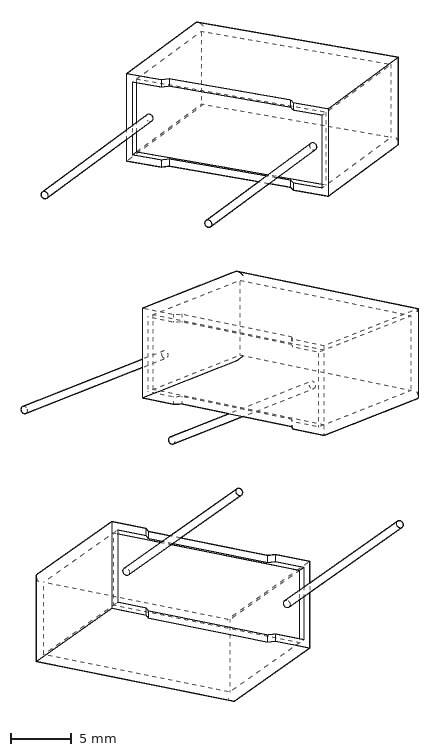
import cadquery as cq

TOTAL_LENGTH = 32.6
CASE_WIDTH = 18.5
CASE_LENGTH = 13.6
CASE_THICKNESS = 7.73

SIDE_WALL = 0.55
BROAD_WALL = 0.65
BACK_WALL = 0.65
BACK_EDGE_RADIUS = 0.5
NOTCH_DEPTH = 0.5
FOOT_WIDTH = 3.7
FOOT_CHAMFER = NOTCH_DEPTH

POTTING_RECESS = 0.75
LEAD_DIAMETER = 0.65
LEAD_SPACING = 15.0

OPEN_END_Y = TOTAL_LENGTH - CASE_LENGTH
POTTING_FACE_Y = OPEN_END_Y + POTTING_RECESS
CAVITY_FLOOR_Y = TOTAL_LENGTH - BACK_WALL
CAVITY_WIDTH = CASE_WIDTH - 2 * SIDE_WALL
CAVITY_THICKNESS = CASE_THICKNESS - 2 * BROAD_WALL


def block(width, thickness, y_start, y_end):
    """Box centred on X and Z, spanning y_start to y_end."""
    length = y_end - y_start
    return cq.Workplane("XY").box(width, length, thickness).translate((0, y_start + length / 2, 0))


def make_notch():
    """Cutter for the gap between the feet, whose inner ends slope at 45 degrees."""
    half_gap = CASE_WIDTH / 2 - FOOT_WIDTH
    notch_top_y = OPEN_END_Y + NOTCH_DEPTH
    half_mouth = half_gap + FOOT_CHAMFER
    return (
        cq.Workplane("XY", origin=(0, 0, -CASE_THICKNESS / 2))
        .moveTo(-half_gap, notch_top_y)
        .lineTo(half_gap, notch_top_y)
        .lineTo(half_mouth, OPEN_END_Y)
        .lineTo(-half_mouth, OPEN_END_Y)
        .close()
        .extrude(CASE_THICKNESS)
    )


def make_case():
    """Open box with a rounded back and a notch in each broad wall."""
    outer = block(CASE_WIDTH, CASE_THICKNESS, OPEN_END_Y, TOTAL_LENGTH)
    outer = outer.faces(">Y").edges().fillet(BACK_EDGE_RADIUS)
    cavity = block(CAVITY_WIDTH, CAVITY_THICKNESS, OPEN_END_Y, CAVITY_FLOOR_Y)
    return outer.cut(cavity).cut(make_notch())


def make_potting():
    """Filling of the case cavity, set back from the open end."""
    return block(CAVITY_WIDTH, CAVITY_THICKNESS, POTTING_FACE_Y, CAVITY_FLOOR_Y)


def make_lead(x):
    """Round wire standing on the potting face and ending at Y = 0."""
    wire = cq.Workplane("XZ", origin=(x, POTTING_FACE_Y, 0))
    return wire.circle(LEAD_DIAMETER / 2).extrude(POTTING_FACE_Y)


case = make_case()
potting = make_potting()
leads = [make_lead(side * LEAD_SPACING / 2) for side in (-1, 1)]

result = cq.Compound.makeCompound([case.val(), potting.val(), *[lead.val() for lead in leads]])